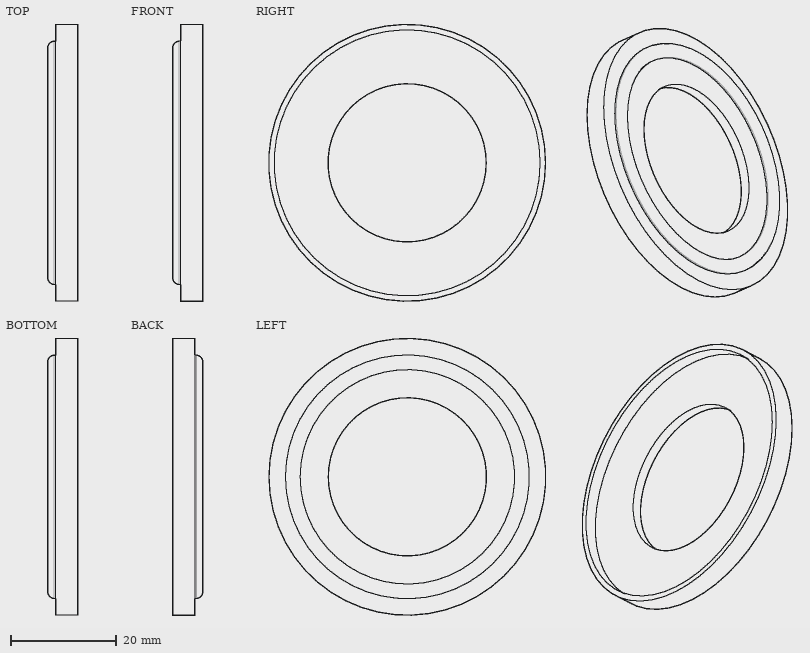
import cadquery as cq

outer_diameter = 52.5
bore_diameter = 29.9
total_thickness = 5.8

bead_height = 1.5
bead_outer_diameter = 46.2
bead_inner_diameter = 40.65
bead_side_height = 0.3

bore_rim_rise = 0.2
web_back = 1.8
lip_inner_diameter = 50.4

outer_radius = outer_diameter / 2
bore_radius = bore_diameter / 2
bead_outer_radius = bead_outer_diameter / 2
bead_inner_radius = bead_inner_diameter / 2
bead_middle_radius = (bead_outer_radius + bead_inner_radius) / 2
lip_inner_radius = lip_inner_diameter / 2
lip_back = total_thickness - bead_height

section = (
    cq.Workplane("XY")
    .moveTo(-bore_rim_rise, bore_radius)
    .lineTo(0, bead_inner_radius)
    .lineTo(-bead_side_height, bead_inner_radius)
    .threePointArc((-bead_height, bead_middle_radius), (-bead_side_height, bead_outer_radius))
    .lineTo(0, bead_outer_radius)
    .lineTo(0, outer_radius)
    .lineTo(lip_back, outer_radius)
    .lineTo(lip_back, lip_inner_radius)
    .lineTo(web_back, lip_inner_radius)
    .lineTo(web_back, bore_radius)
    .close()
)

result = section.revolve(360, (0, 0, 0), (1, 0, 0))